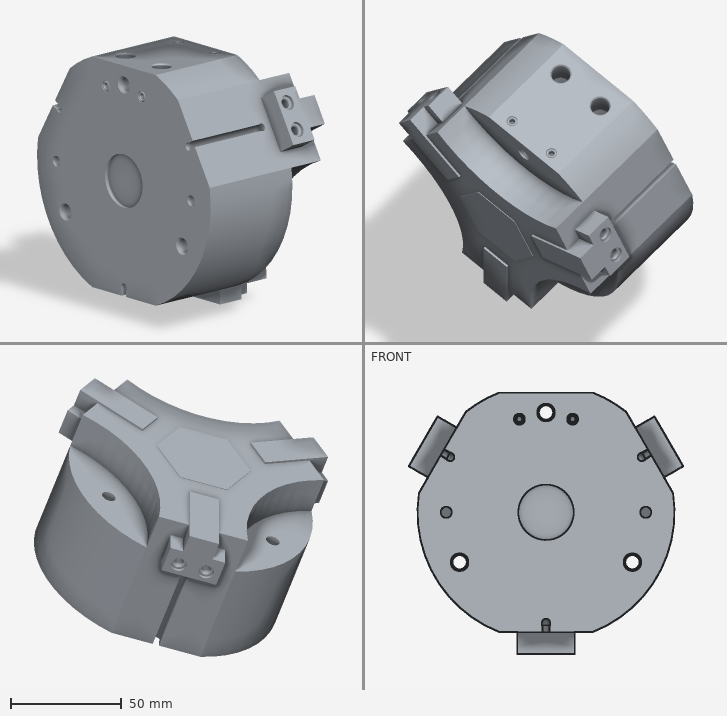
import cadquery as cq
import math

body_radius = 58
flat_distance = 54
drum_height = 50
arm_top = 68
jaw_count = 3
jaw_pitch = 360 / jaw_count

flat_half_width = math.sqrt(body_radius**2 - flat_distance**2)
opposite_angle = math.radians(jaw_pitch / 2)
gap_radius = 58
corner_out = flat_distance * math.cos(opposite_angle) + flat_half_width * math.sin(opposite_angle)
corner_side = flat_distance * math.sin(opposite_angle) - flat_half_width * math.cos(opposite_angle)
gap_center = corner_out + math.sqrt(gap_radius**2 - corner_side**2)

jaw_outer = 64
jaw_inner = 29.6
jaw_top = 69
jaw_shoulder = 60
jaw_bottom = 47
jaw_neck_width = 14
jaw_foot_width = 26
jaw_hole_spacing = 13
jaw_hole_y = 52.4
jaw_counterbore_diameter = 7
jaw_counterbore_depth = 1.5
jaw_hole_depth = 12

m5_core = 4.13
m5_chamfer_diameter = 5

screw_spacing = 24
screw_diameter = 5
screw_length = 5
screw_chamfer = 0.5
screw_socket = 2.5
screw_socket_depth = 2.5
screw_countersink = 3.2
front_screw_z = 42
top_screw_y = 44.5

port_spacing = 24
port_y = 12
port_core = 8.57
port_chamfer_diameter = 9.7
port_depth = 12
drill_point_angle = 118

mount_circle_radius = 45
mount_core = 6.4
mount_chamfer_diameter = 8
dowel_diameter = 5
dowel_depth = 10
center_diameter = 25
center_depth = 2

cover_width = 38.6
cover_height = 0.3

slot_length = 41.6
slot_neck_width = 3
slot_neck_depth = 3.1
slot_entry_radius = 1.8
slot_head_radius = 1.85
slot_depth = 6


def drilled(diameter, depth, chamfer_diameter, point_angle=180):
    """Hole cutter that starts at the origin and runs along +Z, with a chamfered mouth."""
    radius = diameter / 2
    chamfer = (chamfer_diameter - diameter) / 2
    tip = radius / math.tan(math.radians(point_angle / 2))
    outline = cq.Workplane("XZ").moveTo(0, 0).lineTo(radius + chamfer, 0)
    if chamfer > 0:
        outline = outline.lineTo(radius, chamfer)
    outline = outline.lineTo(radius, depth).lineTo(0, depth + tip)
    return outline.close().revolve(360, (0, 0, 0), (0, 1, 0))


def into_front(tool, x, z):
    """Turn a +Z tool to run along +Y from the front face."""
    return tool.rotate((0, 0, 0), (1, 0, 0), -90).translate((x, 0, z))


def into_top(tool, x, y):
    """Turn a +Z tool to run along -Z from the top flat."""
    return tool.rotate((0, 0, 0), (1, 0, 0), 180).translate((x, y, flat_distance))


def around(shape, angle):
    return shape.rotate((0, 0, 0), (0, 1, 0), angle)


def box(width, y_start, y_end, z_start, z_end):
    size = (width, y_end - y_start, z_end - z_start)
    return cq.Workplane("XY").box(*size, centered=(True, False, False)).translate((0, y_start, z_start))


def cylinder(radius, y_start, y_end, x=0, z=0):
    disc = cq.Workplane("XZ").circle(radius).extrude(-(y_end - y_start))
    return disc.translate((x, y_start, z))


def jaw_blank():
    """Plain T-shaped bar of the jaw that points along -Z."""
    neck = box(jaw_neck_width, jaw_bottom, jaw_top, -jaw_outer, -jaw_inner)
    foot = box(jaw_foot_width, jaw_bottom, jaw_shoulder, -jaw_outer, -jaw_inner)
    return neck.union(foot)


def make_jaw(angle):
    jaw = jaw_blank()
    mouth = cq.Workplane("XY").circle(jaw_counterbore_diameter / 2).extrude(jaw_counterbore_depth)
    thread = drilled(m5_core, jaw_hole_depth, m5_chamfer_diameter)
    hole = mouth.union(thread.translate((0, 0, jaw_counterbore_depth)))
    for side in (-1, 1):
        jaw = jaw.cut(hole.translate((side * jaw_hole_spacing / 2, jaw_hole_y, -jaw_outer)))
    return around(jaw, angle)


def sensor_slot():
    """Undercut slot in the flat facing -Z: a narrow neck, a round-bottomed head and a ball-shaped end."""
    neck_z = slot_neck_depth - flat_distance
    head_z = slot_depth - slot_head_radius - flat_distance

    def end_bore(radius, z_start, z_end):
        bore = cq.Workplane("XY").circle(radius).extrude(z_end - z_start)
        return bore.translate((0, slot_length, z_start))

    slot = cylinder(slot_head_radius, 0, slot_length, z=head_z)
    slot = slot.union(box(slot_neck_width, 0, slot_length, -flat_distance, head_z))
    slot = slot.union(box(2 * slot_head_radius, 0, slot_length, neck_z, head_z))
    slot = slot.union(end_bore(slot_entry_radius, -flat_distance, neck_z))
    slot = slot.union(end_bore(slot_head_radius, neck_z, head_z))
    ball = cq.Workplane("XY").sphere(slot_head_radius).translate((0, slot_length, head_z))
    return slot.union(ball)


def make_cover():
    """Raised hexagon in the middle of the arm side, one flat facing each jaw."""
    corner_diameter = cover_width / math.cos(math.radians(30))
    cover = cq.Workplane("XZ").polygon(6, corner_diameter).extrude(-cover_height)
    return cover.translate((0, arm_top, 0))


def make_housing():
    housing = cylinder(body_radius, 0, arm_top)
    flat_cut = box(2 * body_radius, 0, arm_top, -2 * body_radius, -flat_distance)
    gap = cylinder(gap_radius, drum_height, arm_top, z=gap_center)
    housing = housing.cut(around(flat_cut, 180))
    mount = drilled(mount_core, arm_top, mount_chamfer_diameter)
    for i in range(jaw_count):
        angle = i * jaw_pitch
        for tool in (flat_cut, gap, jaw_blank(), sensor_slot(), into_front(mount, 0, mount_circle_radius)):
            housing = housing.cut(around(tool, angle))
    dowel = drilled(dowel_diameter, dowel_depth, dowel_diameter)
    screw_hole = drilled(screw_diameter, screw_length, screw_diameter)
    port = drilled(port_core, port_depth, port_chamfer_diameter, drill_point_angle)
    for side in (-1, 1):
        housing = housing.cut(into_front(dowel, side * mount_circle_radius, 0))
        housing = housing.cut(into_front(screw_hole, side * screw_spacing / 2, front_screw_z))
        housing = housing.cut(into_top(screw_hole, side * screw_spacing / 2, top_screw_y))
        housing = housing.cut(into_top(port, side * port_spacing / 2, port_y))
    housing = housing.cut(cylinder(center_diameter / 2, 0, center_depth))
    return housing.union(make_cover())


def make_screw():
    """Set screw along +Z, with its chamfered socket end at the origin."""
    screw = cq.Workplane("XY").circle(screw_diameter / 2).extrude(screw_length)
    screw = screw.faces("<Z").chamfer(screw_chamfer)
    corner_diameter = screw_socket / math.cos(math.radians(30))
    socket = cq.Workplane("XY").polygon(6, corner_diameter).extrude(screw_socket_depth)
    countersink = cq.Solid.makeCone(screw_countersink / 2, 0, screw_countersink / 2)
    return screw.cut(socket).cut(countersink)


housing = make_housing()
jaws = [make_jaw(i * jaw_pitch) for i in range(jaw_count)]
screws = []
for side in (-1, 1):
    screws.append(into_front(make_screw(), side * screw_spacing / 2, front_screw_z))
    screws.append(into_top(make_screw(), side * screw_spacing / 2, top_screw_y))

result = cq.Compound.makeCompound([housing.val()] + [body.val() for body in jaws + screws])